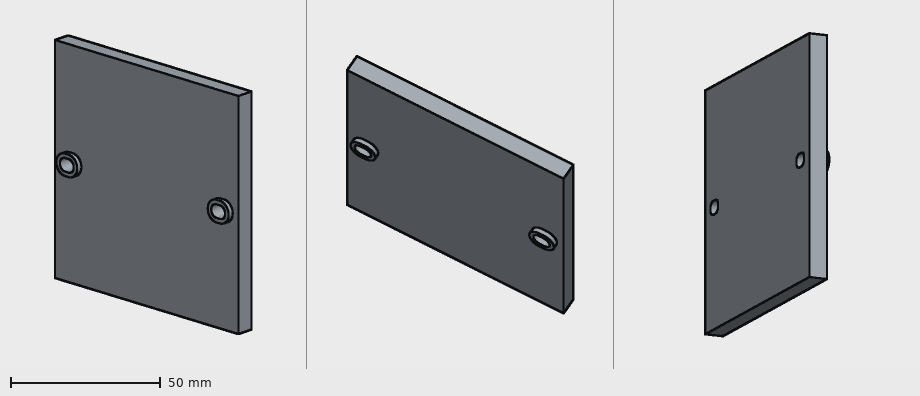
import cadquery as cq

side = 84.0
total_depth = 8.5
boss_height = 2.0
plate_thickness = total_depth - boss_height
back_layer_thickness = 2.5
front_layer_thickness = plate_thickness - back_layer_thickness

boss_spacing = 69.3
slot_shift = 1.6
boss_width = 8.0
hole_width = 4.8

boss_centers = [(-boss_spacing / 2, 0), (boss_spacing / 2, 0)]


def layer(front_y, thickness):
    """Square layer running back from front_y."""
    return cq.Workplane("XZ", origin=(0, front_y, 0)).rect(side, side).extrude(-thickness)


def slots(width, depth):
    """Horizontal slot prisms at both boss positions, running back from the boss tips."""
    return (
        cq.Workplane("XZ", origin=(0, -boss_height, 0))
        .pushPoints(boss_centers)
        .slot2D(width + slot_shift, width)
        .extrude(-depth)
    )


front_layer = layer(0, front_layer_thickness)
back_layer = layer(front_layer_thickness, back_layer_thickness)
bosses = slots(boss_width, boss_height)
holes = slots(hole_width, total_depth)

plate = front_layer.union(back_layer, clean=False)
result = plate.union(bosses, clean=False).cut(holes, clean=False)